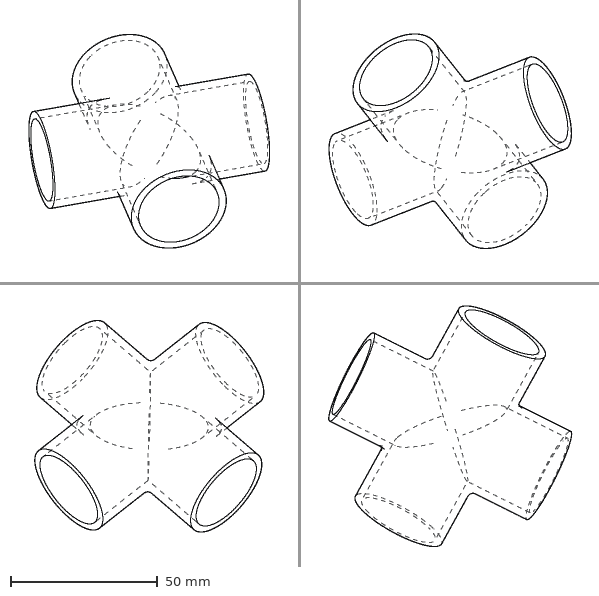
import cadquery as cq

OUTER_DIAMETER = 33.7
BORE_DIAMETER = 28.5
OVERALL_LENGTH = 76.0
CROTCH_FILLET_RADIUS = 2.0


def crossed_cylinders(diameter):
    """Two full-length cylinders along X and Y, joined at the origin."""
    half_length = OVERALL_LENGTH / 2
    radius = diameter / 2
    along_x = cq.Workplane("YZ").circle(radius).extrude(half_length, both=True)
    along_y = cq.Workplane("XZ").circle(radius).extrude(half_length, both=True)
    return along_x.union(along_y)


def outer_body():
    """Solid cross; the elliptical seams between its branches are rounded."""
    return crossed_cylinders(OUTER_DIAMETER).edges("%ELLIPSE").fillet(CROTCH_FILLET_RADIUS)


result = outer_body().cut(crossed_cylinders(BORE_DIAMETER))